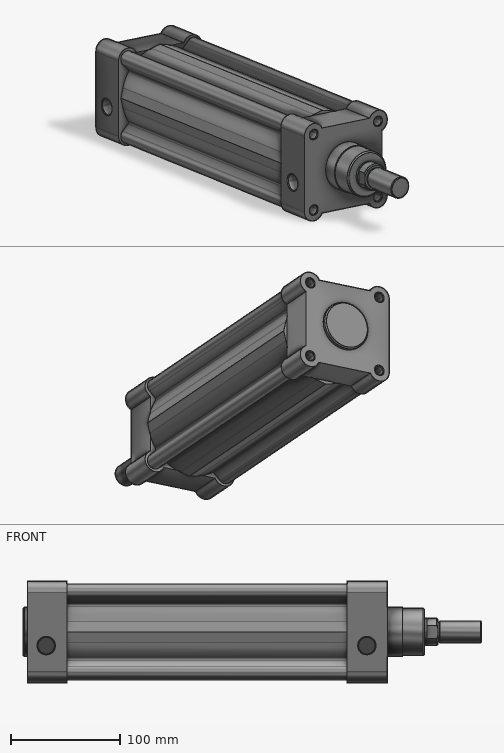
import cadquery as cq
import math


total_length = 419.0
rear_cap_length = 36.0
front_cap_length = 37.0
rear_boss_length = 3.98
front_boss_length = 34.0
front_boss_base_length = 14.0
rod_shoulder_length = 46.0
thread_length = 39.8

cap_width = 93.0
corner_pitch = 72.0
corner_radius = (cap_width - corner_pitch) / 2
recessed_side = 40.5
mounting_hole_diameter = 8.5
mounting_hole_depth = 16.0
mounting_hole_chamfer = 1.0
port_diameter = 15.0
port_depth = 20.0
port_chamfer = 1.0
port_drop = 12.5
rear_port_inset = 19.0
front_port_inset = 18.0

boss_diameter = 45.2
front_boss_nose_diameter = 43.5
boss_chamfer = 1.3
lip_length = 2.0

tube_radius = 42.7
ridge_half_width = 9.5
lobe_reach = 44.0
lobe_radius = 7.0
lobe_fillet = 2.0

rod_diameter = 25.0
flats_width = 22.0
rod_chamfer = 1.05
thread_diameter = 20.0
thread_chamfer = 1.0
neck_length = 1.3

rear_face_x = rear_boss_length
barrel_start_x = rear_face_x + rear_cap_length
front_face_x = total_length - thread_length - rod_shoulder_length
barrel_end_x = front_face_x - front_cap_length
front_boss_end_x = front_face_x + front_boss_length
rod_start_x = front_boss_end_x + lip_length
thread_start_x = front_face_x + rod_shoulder_length


def section_at(x):
    """YZ workplane at x: local x is Y, local y is Z, extrusion goes toward +X."""
    return cq.Workplane("YZ", origin=(x, 0, 0))


def cap_block(outer_face_x, barrel_side_x, port_inset):
    """Cap with four corner lobes, a flush -Y port side, mounting holes and a port."""
    pitch_half = corner_pitch / 2
    inward = barrel_side_x - outer_face_x
    into_cap = math.copysign(1, inward)
    core = section_at(outer_face_x).moveTo((recessed_side - pitch_half) / 2, 0).rect(
        pitch_half + recessed_side, 2 * recessed_side
    )
    port_side = section_at(outer_face_x).moveTo(-cap_width / 4, 0).rect(cap_width / 2, corner_pitch)
    lobes = section_at(outer_face_x).rect(corner_pitch, corner_pitch, forConstruction=True).vertices()
    block = (
        core.extrude(inward)
        .union(port_side.extrude(inward))
        .union(lobes.circle(corner_radius).extrude(inward))
    )

    for y in (-pitch_half, pitch_half):
        for z in (-pitch_half, pitch_half):
            block = block.cut(
                chamfered_hole(
                    mounting_hole_diameter,
                    mounting_hole_depth,
                    mounting_hole_chamfer,
                    cq.Vector(outer_face_x, y, z),
                    cq.Vector(into_cap, 0, 0),
                )
            )

    port_x = barrel_side_x - into_cap * port_inset
    port = chamfered_hole(
        port_diameter,
        port_depth,
        port_chamfer,
        cq.Vector(port_x, -cap_width / 2, -port_drop),
        cq.Vector(0, 1, 0),
    )
    return block.cut(port)


def chamfered_hole(diameter, depth, chamfer, mouth, direction):
    """Blind hole with a chamfered mouth, as a solid to cut away."""
    radius = diameter / 2
    bore = cq.Solid.makeCylinder(radius, depth, mouth, direction)
    countersink = cq.Solid.makeCone(radius + chamfer, radius, chamfer, mouth, direction)
    return cq.Workplane(bore.fuse(countersink))


def make_rear_cap():
    boss = (
        section_at(0)
        .circle(boss_diameter / 2)
        .extrude(rear_boss_length)
        .faces("<X")
        .chamfer(boss_chamfer)
    )
    return cap_block(rear_face_x, barrel_start_x, rear_port_inset).union(boss)


def make_front_cap():
    boss_base = section_at(front_face_x).circle(boss_diameter / 2).extrude(front_boss_base_length)
    boss_nose = (
        section_at(front_face_x)
        .circle(front_boss_nose_diameter / 2)
        .extrude(front_boss_length)
        .faces(">X")
        .chamfer(boss_chamfer)
    )
    lip = section_at(front_boss_end_x).circle(rod_diameter / 2).extrude(lip_length)
    block = cap_block(front_face_x, barrel_end_x, front_port_inset)
    return block.union(boss_base).union(boss_nose).union(lip)


def make_barrel():
    """Round tube with a ridge on each side and a tie-rod lobe on each diagonal."""
    ridge_angle = math.asin(ridge_half_width / tube_radius)
    ridge_peak = tube_radius / math.cos(ridge_angle)
    lobe_distance = (lobe_reach - lobe_radius) * math.sqrt(2)
    fillet_distance = tube_radius + lobe_fillet
    fillet_offset = lobe_radius + lobe_fillet
    fillet_along = math.sqrt(fillet_distance**2 - fillet_offset**2)
    fillet_turn = math.atan2(fillet_offset, fillet_along)
    fillet_mid_angle = (math.pi + fillet_turn + 3 * math.pi / 2) / 2
    fillet_mid = (
        fillet_along + lobe_fillet * math.cos(fillet_mid_angle),
        fillet_offset + lobe_fillet * math.sin(fillet_mid_angle),
    )

    def on_tube(turn):
        return (tube_radius * math.cos(turn), tube_radius * math.sin(turn))

    ridge_turn = math.pi / 4 - ridge_angle
    tube_mid_turn = (ridge_turn + fillet_turn) / 2

    def placed(point, quadrant, side=1):
        """Point given as (along, across) a lobe's diagonal, placed in that quadrant."""
        angle = math.pi / 4 + quadrant * math.pi / 2
        along, across = point[0], side * point[1]
        return (
            along * math.cos(angle) - across * math.sin(angle),
            along * math.sin(angle) + across * math.cos(angle),
        )

    peak = (ridge_peak / math.sqrt(2), ridge_peak / math.sqrt(2))
    web_end = (fillet_along, lobe_radius)
    lobe_start = (lobe_distance, lobe_radius)
    lobe_tip = (lobe_distance + lobe_radius, 0)

    outline = section_at(barrel_start_x).moveTo(*placed(peak, 0, -1))
    for quadrant in range(4):
        outline = (
            outline.lineTo(*placed(on_tube(ridge_turn), quadrant, -1))
            .threePointArc(
                placed(on_tube(tube_mid_turn), quadrant, -1),
                placed(on_tube(fillet_turn), quadrant, -1),
            )
            .threePointArc(placed(fillet_mid, quadrant, -1), placed(web_end, quadrant, -1))
            .lineTo(*placed(lobe_start, quadrant, -1))
            .threePointArc(placed(lobe_tip, quadrant), placed(lobe_start, quadrant))
            .lineTo(*placed(web_end, quadrant))
            .threePointArc(placed(fillet_mid, quadrant), placed(on_tube(fillet_turn), quadrant))
            .threePointArc(
                placed(on_tube(tube_mid_turn), quadrant), placed(on_tube(ridge_turn), quadrant)
            )
        )
        if quadrant < 3:
            outline = outline.lineTo(*placed(peak, quadrant))
    return outline.close().extrude(barrel_end_x - barrel_start_x)


def make_piston_rod():
    shank_length = thread_start_x - rod_start_x
    wrench_flats = section_at(rod_start_x).rect(flats_width, rod_diameter).extrude(shank_length)
    shank = (
        section_at(rod_start_x)
        .circle(rod_diameter / 2)
        .extrude(shank_length)
        .faces(">X")
        .chamfer(rod_chamfer)
        .intersect(wrench_flats)
    )
    neck = section_at(thread_start_x).circle(thread_diameter / 2 - thread_chamfer).extrude(neck_length)
    thread = (
        section_at(thread_start_x + neck_length)
        .circle(thread_diameter / 2)
        .extrude(thread_length - neck_length)
        .faces("<X or >X")
        .chamfer(thread_chamfer)
    )
    return shank.union(neck).union(thread)


rear_cap = make_rear_cap()
barrel = make_barrel()
front_cap = make_front_cap()
piston_rod = make_piston_rod()

result = cq.Compound.makeCompound(
    [rear_cap.val(), barrel.val(), front_cap.val(), piston_rod.val()]
)